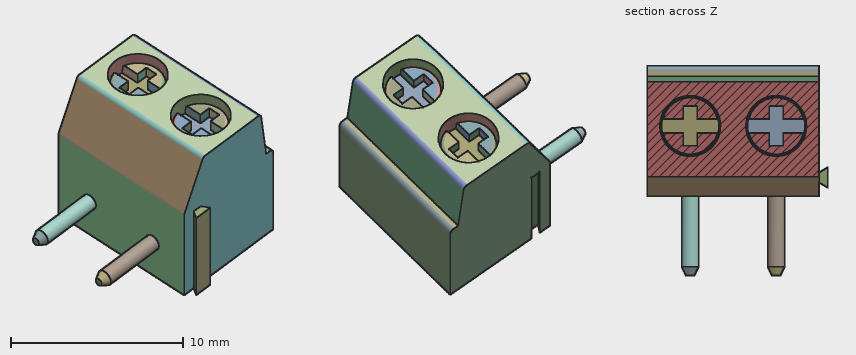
import cadquery as cq
POLES = 2
PITCH = 5.0
LENGTH = POLES * PITCH
DEPTH = 7.6
HEIGHT = 10.0
BACK_Y = DEPTH
SHOULDER_Z = 6.5
STEP_WIDTH = 0.6
CROWN_BACK_Y = BACK_Y - 1.05
CROWN_FRONT_Y = 1.64
EDGE_RADIUS = 0.3
FRONT_EDGE_RADIUS = 0.4

DOVETAIL_Y = 1.1
DOVETAIL_NECK = 0.6
DOVETAIL_WIDTH = 1.2
DOVETAIL_DEPTH = 0.5
DOVETAIL_HEIGHT = 6.2

SCREW_Y = BACK_Y - 3.5
WELL_DIAMETER = 3.5
HEAD_BASE_DIAMETER = 3.4
HEAD_TOP_DIAMETER = 3.2
HEAD_ROUNDING = 0.2
HEAD_RECESS = 0.5
HEAD_HEIGHT = 1.0
SLOT_WIDTH = 0.8
SLOT_DEPTH = 0.7
CROSS_SLOT_LENGTH = 2.3
HEAD_TOP_Z = HEIGHT - HEAD_RECESS
WELL_FLOOR_Z = HEAD_TOP_Z - HEAD_HEIGHT

PIN_Z = 2.65
PIN_DIAMETER = 1.0
PIN_LENGTH = 4.6
PIN_TIP_DIAMETER = 0.5
PIN_TIP_LENGTH = 0.5

POLE_XS = [PITCH * (pole + 0.5) for pole in range(POLES)]


def make_housing():
    """Extrude the side profile along X, then soften its long edges."""
    profile = [
        (0, 0),
        (BACK_Y, 0),
        (BACK_Y, SHOULDER_Z),
        (BACK_Y - STEP_WIDTH, SHOULDER_Z),
        (CROWN_BACK_Y, HEIGHT),
        (CROWN_FRONT_Y, HEIGHT),
        (0, SHOULDER_Z),
    ]
    housing = cq.Workplane("YZ").polyline(profile).close().extrude(LENGTH)
    rounded_corners = [
        (BACK_Y, SHOULDER_Z, EDGE_RADIUS),
        (CROWN_BACK_Y, HEIGHT, EDGE_RADIUS),
        (CROWN_FRONT_Y, HEIGHT, EDGE_RADIUS),
        (0, SHOULDER_Z, FRONT_EDGE_RADIUS),
    ]
    for y, z, radius in rounded_corners:
        edge = cq.selectors.NearestToPointSelector((LENGTH / 2, y, z))
        housing = housing.edges(edge).fillet(radius)
    return housing


def make_dovetail(base_x):
    """Upright dovetail bar, narrow at base_x and widening towards +X."""
    tip_x = base_x + DOVETAIL_DEPTH
    outline = [
        (base_x, DOVETAIL_Y - DOVETAIL_NECK / 2),
        (tip_x, DOVETAIL_Y - DOVETAIL_WIDTH / 2),
        (tip_x, DOVETAIL_Y + DOVETAIL_WIDTH / 2),
        (base_x, DOVETAIL_Y + DOVETAIL_NECK / 2),
    ]
    return cq.Workplane("XY").polyline(outline).close().extrude(DOVETAIL_HEIGHT)


def make_well(x):
    """Round well that the screw head sits in."""
    floor = cq.Workplane("XY", origin=(x, SCREW_Y, WELL_FLOOR_Z))
    return floor.circle(WELL_DIAMETER / 2).extrude(HEIGHT - WELL_FLOOR_Z)


def make_screw_head(x):
    """Tapered, rounded head with one slot right across it and a shorter slot along Y."""
    base = cq.Workplane("XY", origin=(x, SCREW_Y, WELL_FLOOR_Z))
    base_circle = base.circle(HEAD_BASE_DIAMETER / 2)
    top_circle = base_circle.workplane(offset=HEAD_HEIGHT).circle(HEAD_TOP_DIAMETER / 2)
    head = top_circle.loft(ruled=True)
    head = head.faces(">Z").edges().fillet(HEAD_ROUNDING)
    top = cq.Workplane("XY", origin=(x, SCREW_Y, HEAD_TOP_Z))
    full_slot = top.rect(HEAD_BASE_DIAMETER, SLOT_WIDTH).extrude(-SLOT_DEPTH)
    cross_slot = top.rect(SLOT_WIDTH, CROSS_SLOT_LENGTH).extrude(-SLOT_DEPTH)
    return head.cut(full_slot).cut(cross_slot)


def make_pin(x):
    """Round pin along -Y, rooted in the front face, with a tapered tip."""
    root = cq.Workplane("XZ", origin=(x, 0, PIN_Z))
    pin = root.circle(PIN_DIAMETER / 2).extrude(PIN_LENGTH)
    tip_inset = (PIN_DIAMETER - PIN_TIP_DIAMETER) / 2
    return pin.faces("<Y").chamfer(PIN_TIP_LENGTH, tip_inset)


result = make_housing()
result = result.cut(make_dovetail(0)).union(make_dovetail(LENGTH))
for pole_x in POLE_XS:
    result = result.cut(make_well(pole_x))
    result = result.union(make_screw_head(pole_x))
    result = result.union(make_pin(pole_x))